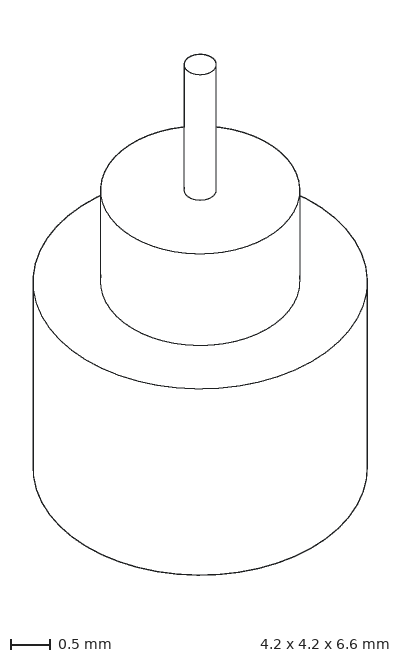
import cadquery as cq

total_height = 6.6

body_diameter = 4.2
collar_diameter = 2.5
pin_diameter = 0.4

body_height = 3.05
collar_height = 1.5
pin_height = total_height - body_height - collar_height


def add_step(part, diameter, height):
    """Stack a cylinder centred on the top face of the part."""
    return part.faces(">Z").workplane().circle(diameter / 2).extrude(height)


result = cq.Workplane("XY").circle(body_diameter / 2).extrude(body_height)

result = add_step(result, collar_diameter, collar_height)
result = add_step(result, pin_diameter, pin_height)